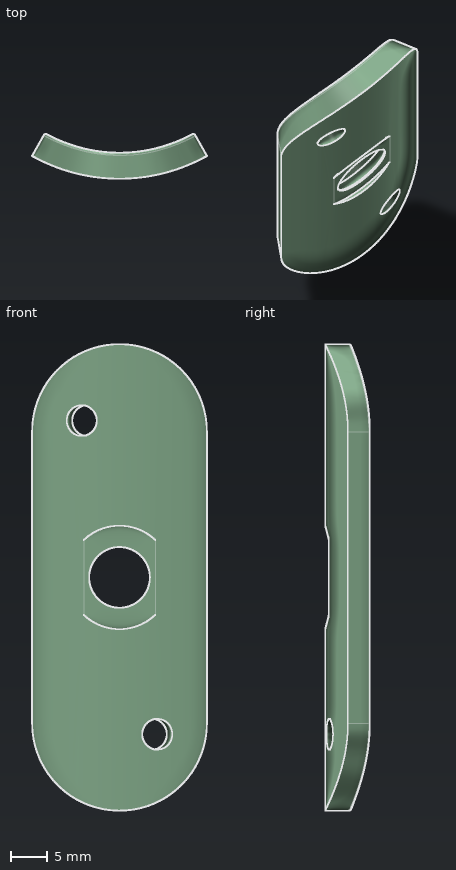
import cadquery as cq
import math

width = 24.0
length = 64.0
outer_radius = 24.5
thickness = 3.6
inner_edge_round = 0.35

centre_hole_diameter = 8.3
seat_diameter = 14.2
seat_depth = 0.5

lip_height = 0.2
bore_diameter = 11.7

screw_hole_diameter = 4.2
screw_hole_offset_x = 5.2
screw_hole_offset_z = 21.5

axis_y = outer_radius


def outer_skin():
    """Convex face of the plate: a cylinder trimmed by the slot outline."""
    outline = cq.Workplane("XZ").slot2D(length, width, 90).extrude(-outer_radius)
    cylinder = cq.Workplane("XY", origin=(0, axis_y, -length / 2)).circle(outer_radius).extrude(length)
    return cylinder.intersect(outline).faces("%CYLINDER").faces("<Y").val()


def plate():
    """Skin thickened along its normals, with the concave rim rounded."""
    body = outer_skin().thicken(-thickness)
    inner_face = cq.Workplane(obj=body).faces("%CYLINDER").faces(">Y").val()
    return cq.Workplane(obj=body.fillet(inner_edge_round, inner_face.Edges()))


def seat_cutter():
    """Shallow disc that leaves a flat seat on the convex face."""
    return cq.Workplane("XZ").circle(seat_diameter / 2).extrude(-seat_depth)


def centre_hole_cutter():
    """Stepped hole along Y: lip, 45 degree flare, then the wide bore."""
    hole_radius = centre_hole_diameter / 2
    bore_radius = bore_diameter / 2
    flare_start = seat_depth + lip_height
    flare_end = flare_start + bore_radius - hole_radius
    profile = [
        (0, 0),
        (hole_radius, 0),
        (hole_radius, flare_start),
        (bore_radius, flare_end),
        (bore_radius, outer_radius),
        (0, outer_radius),
    ]
    return cq.Workplane("XY").polyline(profile).close().revolve(360, (0, 0), (0, 1))


def screw_hole_cutter(x, z):
    """Cylinder from the axis of curvature out through the outer face at (x, z)."""
    drop = math.sqrt(outer_radius**2 - x**2)
    start = cq.Vector(0, axis_y, z)
    direction = cq.Vector(x, -drop, 0)
    return cq.Solid.makeCylinder(screw_hole_diameter / 2, outer_radius + thickness, start, direction)


result = plate()
result = result.cut(seat_cutter())
result = result.cut(centre_hole_cutter())
for side in (-1, 1):
    result = result.cut(screw_hole_cutter(side * screw_hole_offset_x, -side * screw_hole_offset_z))